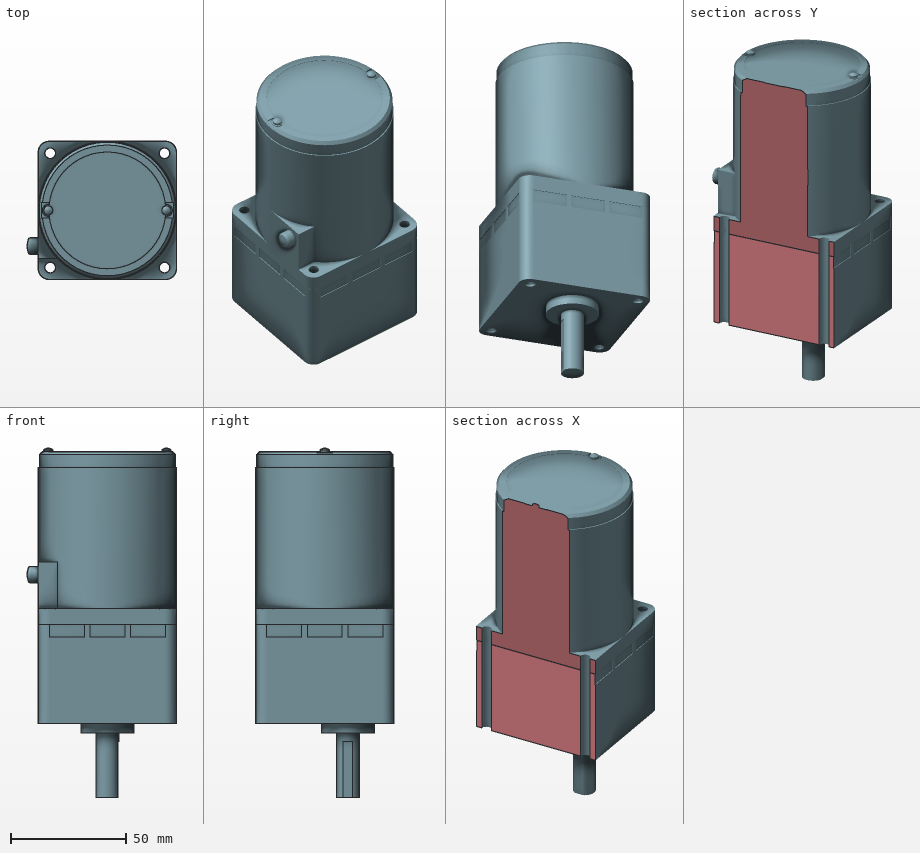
import cadquery as cq

WIDTH = 60.0
HALF = WIDTH / 2
CORNER_RADIUS = 4.9
FLANGE_CORNER_RADIUS = 5.0
BOSS_BOTTOM = 28.0
GEARBOX_BOTTOM = 32.1
SPLIT_Z = 75.2
FLANGE_TOP = 82.0
SHELL_TOP = 143.1
CAP_TOP = 150.0
SCREW_TOP = 151.5

HOLE_DIAMETER = 4.5
HOLE_SPACING = 49.5

SHAFT_OFFSET = 10.0
SHAFT_RADIUS = 5.0
FLAT_DEPTH = 0.5
FLAT_TOP = 24.4
BOSS_DIAMETER = 23.0
PANEL_HEIGHT = 5.5
PANEL_DEPTH = 0.3
PANEL_WIDTH = 15.2
PANEL_COUNT = 3
PANEL_PITCH = (WIDTH - 2 * CORNER_RADIUS - PANEL_WIDTH) / (PANEL_COUNT - 1)

SHELL_RADIUS = 30.0
CAP_RADIUS = 29.5
CAP_CHAMFER_WIDTH = 1.2
CAP_CHAMFER_HEIGHT = 1.4
RIM_INNER_RADIUS = 25.3
RIM_HEIGHT = 0.2

SCREW_X = 25.6
SCREW_RADIUS = 2.0
SCREW_DOME_HEIGHT = 0.8
SHOULDER_RADIUS = 2.6
SHOULDER_HEIGHT = 0.3
NOTCH_WIDTH = 6.7
NOTCH_DEPTH = 0.6
NOTCH_OUTER_X = 28.6

BLOCK_TOP = 102.2
BLOCK_WIDTH = 20.9
CONNECTOR_Y = -15.5
CONNECTOR_Z = 96.7
CONNECTOR_RADIUS = 3.6
CONNECTOR_LENGTH = 4.4
CONNECTOR_FILLET = 1.2
DOME_HEIGHT = 0.5


def square_plate(bottom, top, corner_radius):
    """Rounded square block with a through hole in each corner."""
    return (
        cq.Workplane("XY", origin=(0, 0, bottom))
        .rect(WIDTH, WIDTH)
        .extrude(top - bottom)
        .edges("|Z")
        .fillet(corner_radius)
        .faces(">Z")
        .workplane(origin=(0, 0, top))
        .rect(HOLE_SPACING, HOLE_SPACING, forConstruction=True)
        .vertices()
        .hole(HOLE_DIAMETER)
    )


def cylinder(radius, bottom, top, x=0, y=0):
    """Upright cylinder between two heights."""
    return cq.Workplane("XY", origin=(x, y, bottom)).circle(radius).extrude(top - bottom)


def output_shaft():
    """Round shaft with a flat facing +X at its free end."""
    shaft = cylinder(SHAFT_RADIUS, 0, BOSS_BOTTOM, y=SHAFT_OFFSET)
    flat = cq.Workplane("XY").box(SHAFT_RADIUS, 2 * SHAFT_RADIUS, FLAT_TOP, centered=(False, True, False))
    return shaft.cut(flat.translate((SHAFT_RADIUS - FLAT_DEPTH, SHAFT_OFFSET, 0)))


def side_panels():
    """Shallow recesses below the joint, three on each side of the gearbox."""
    row = cq.Workplane("XY", origin=(0, -HALF, SPLIT_Z - PANEL_HEIGHT))
    row = row.rarray(PANEL_PITCH, 1.5, PANEL_COUNT, 1).rect(PANEL_WIDTH, 2 * PANEL_DEPTH).extrude(PANEL_HEIGHT)
    panels = cq.Workplane("XY")
    for angle in (0, 90, 180, 270):
        panels = panels.add(row.rotate((0, 0, 0), (0, 0, 1), angle))
    return panels.combine()


def make_gearbox():
    boss = cylinder(BOSS_DIAMETER / 2, BOSS_BOTTOM, GEARBOX_BOTTOM, y=SHAFT_OFFSET)
    case = square_plate(GEARBOX_BOTTOM, SPLIT_Z, CORNER_RADIUS).cut(side_panels())
    return case.union(boss).union(output_shaft())


def dome(radius, height):
    """Shallow dome standing on Z = 0."""
    mid_height = height * 3 / 4
    return (
        cq.Workplane("XZ")
        .lineTo(radius, 0)
        .threePointArc((radius / 2, mid_height), (0, height))
        .close()
        .revolve(360, (0, 0, 0), (0, 1, 0))
    )


def cap_screw(x):
    """Domed screw head on a round shoulder, standing on the floor of a notch."""
    floor = CAP_TOP - NOTCH_DEPTH
    dome_bottom = SCREW_TOP - SCREW_DOME_HEIGHT
    head = cylinder(SCREW_RADIUS, floor, dome_bottom, x=x)
    shoulder = cylinder(SHOULDER_RADIUS, floor, floor + SHOULDER_HEIGHT, x=x)
    return head.union(shoulder).union(dome(SCREW_RADIUS, SCREW_DOME_HEIGHT).translate((x, 0, dome_bottom)))


def end_cap():
    """Chamfered cap with a low rim, notched for two screws."""
    cap = cylinder(CAP_RADIUS, SHELL_TOP, CAP_TOP)
    cap = cap.faces(">Z").chamfer(CAP_CHAMFER_HEIGHT, CAP_CHAMFER_WIDTH)
    cap = cap.cut(cylinder(RIM_INNER_RADIUS, CAP_TOP - RIM_HEIGHT, CAP_TOP))
    notch_length = NOTCH_OUTER_X - RIM_INNER_RADIUS
    notch_center_x = RIM_INNER_RADIUS + notch_length / 2
    notch = cq.Workplane("XY").box(notch_length, NOTCH_WIDTH, 2 * NOTCH_DEPTH)
    for side in (-1, 1):
        cap = cap.cut(notch.translate((side * notch_center_x, 0, CAP_TOP)))
        cap = cap.union(cap_screw(side * SCREW_X))
    return cap


def terminal_block():
    """Block flush with the -X side of the flange, merging into the shell."""
    return (
        cq.Workplane("XY", origin=(-HALF, -BLOCK_WIDTH, FLANGE_TOP))
        .box(HALF, BLOCK_WIDTH, BLOCK_TOP - FLANGE_TOP, centered=False)
    )


def connector():
    """Round cable connector on the -X face of the terminal block, with a domed end."""
    barrel = cylinder(CONNECTOR_RADIUS, 0, CONNECTOR_LENGTH).faces(">Z").edges().fillet(CONNECTOR_FILLET)
    tip = dome(CONNECTOR_RADIUS - CONNECTOR_FILLET, DOME_HEIGHT).translate((0, 0, CONNECTOR_LENGTH))
    upright = barrel.union(tip)
    pointing_out = upright.rotate((0, 0, 0), (0, 1, 0), -90)
    return pointing_out.translate((-HALF, CONNECTOR_Y, CONNECTOR_Z))


def make_motor():
    shell = cylinder(SHELL_RADIUS, FLANGE_TOP, SHELL_TOP)
    motor = square_plate(SPLIT_Z, FLANGE_TOP, FLANGE_CORNER_RADIUS).union(shell).union(end_cap())
    return motor.union(terminal_block()).union(connector())


gearbox = make_gearbox()
motor = make_motor()
result = cq.Compound.makeCompound([gearbox.val(), motor.val()])